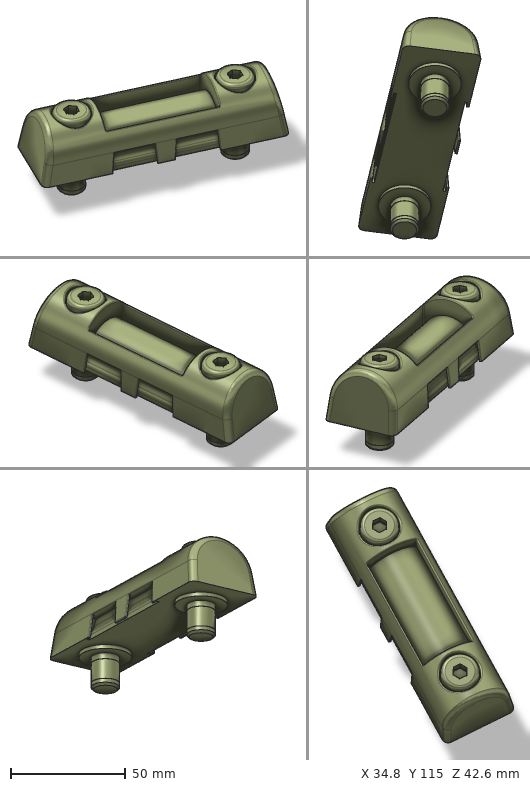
import cadquery as cq
import math

length = 115.0
base_width = 34.8
height = 25.9
side_draft = 5.0
end_draft = 10.0
end_fillet = 3.0

window_width = 24.2
window_length = 53.1
window_corner_radius = 0.6
window_rim_fillet = 0.5

cavity_length = 55.2
skirt_thickness = 1.0

opening_end_y = 25.1
post_half_width = 4.0
opening_height = 10.5
opening_draft = 5.0
opening_corner_radius = 0.6
opening_fillet = 0.3

dome_radius = 13.0
dome_axis_z = 4.7
dome_foot_z = 7.0
curve_middle_x = 14.3
curve_middle_z = 4.1
flange_half_width = 15.2
flange_height = 2.1

screw_spacing = 76.1
counterbore_diameter = 18.0
counterbore_rim_fillet = 0.6
head_diameter = 17.0
head_height = 6.9
head_fillet = 2.0
hex_across_flats = 6.0
hex_depth = 5.8
washer_diameter = 23.0
washer_thickness = 1.8
shank_diameter = 12.5
thread_diameter = 12.4
thread_top_z = -4.6
thread_bottom_z = -13.8
tip_z = -16.7
tip_chamfer = 1.0

margin = 0.1
half_length = length / 2
half_base = base_width / 2
side_slope = math.tan(math.radians(side_draft))

side_angle = math.radians(side_draft)
crown_axis_z = (height - half_base * math.cos(side_angle)) / (1 - math.sin(side_angle))
crown_radius = height - crown_axis_z
crown_start_x = crown_radius * math.cos(side_angle)
crown_start_z = crown_axis_z + crown_radius * math.sin(side_angle)

head_seat_z = height - head_height


def edges_in_box(body, low, high):
    """Edges that lie completely inside the box from low to high."""
    return body.edges(cq.selectors.BoxSelector(low, high, boundingbox=True))


def make_housing():
    section = (
        cq.Workplane("XZ")
        .moveTo(-half_base, 0)
        .lineTo(-crown_start_x, crown_start_z)
        .threePointArc((0, height), (crown_start_x, crown_start_z))
        .lineTo(half_base, 0)
        .close()
        .extrude(half_length, both=True)
    )
    top_half_length = half_length - height * math.tan(math.radians(end_draft))
    side_outline = (
        cq.Workplane("YZ")
        .polyline([
            (-half_length, 0),
            (half_length, 0),
            (top_half_length, height),
            (-top_half_length, height),
        ])
        .close()
        .extrude(base_width, both=True)
    )
    block = section.intersect(side_outline)
    return block.faces("<Y or >Y").edges("not <Z").fillet(end_fillet)


def cut_window(body):
    window = (
        cq.Workplane("XY", origin=(0, 0, dome_axis_z))
        .rect(window_width, window_length)
        .extrude(height)
        .edges("|Z")
        .fillet(window_corner_radius)
    )
    half_x = window_width / 2 + margin
    half_y = window_length / 2 + margin
    rim = edges_in_box(
        body.cut(window),
        (-half_x, -half_y, crown_start_z),
        (half_x, half_y, height + margin),
    )
    return rim.fillet(window_rim_fillet)


def cut_cavity(body):
    inner_half_base = half_base - skirt_thickness
    inner_half_top = inner_half_base - opening_height * side_slope
    cavity = (
        cq.Workplane("XZ")
        .polyline([
            (-inner_half_base, 0),
            (inner_half_base, 0),
            (inner_half_top, opening_height),
            (-inner_half_top, opening_height),
        ])
        .close()
        .extrude(cavity_length / 2, both=True)
    )
    return body.cut(cavity)


def cut_openings(body):
    lean = opening_height * math.tan(math.radians(opening_draft))
    for side in (-1, 1):
        opening = (
            cq.Workplane("YZ")
            .polyline([
                (side * post_half_width, 0),
                (side * (post_half_width + lean), opening_height),
                (side * (opening_end_y - lean), opening_height),
                (side * opening_end_y, 0),
            ])
            .close()
            .extrude(half_base, both=True)
            .faces(">Z")
            .edges("|X")
            .fillet(opening_corner_radius)
        )
        body = body.cut(opening)
    return body


def round_openings(body):
    """Round the outer edges of the skirt openings and the foot of each post."""
    inner_x = half_base - opening_height * side_slope - skirt_thickness / 2
    for side in (-1, 1):
        near_x, far_x = sorted((side * inner_x, side * (half_base + margin)))
        rim = edges_in_box(
            body,
            (near_x, -opening_end_y - margin, -margin),
            (far_x, opening_end_y + margin, opening_height + margin),
        )
        body = rim.edges("not |X").fillet(opening_fillet)
    return body


def make_insert():
    dome_foot_x = math.sqrt(dome_radius**2 - (dome_foot_z - dome_axis_z) ** 2)
    half_insert = (
        cq.Workplane("XZ")
        .lineTo(0, dome_axis_z + dome_radius)
        .radiusArc((dome_foot_x, dome_foot_z), dome_radius)
        .tangentArcPoint((curve_middle_x, curve_middle_z), relative=False)
        .tangentArcPoint((flange_half_width, flange_height), relative=False)
        .lineTo(flange_half_width, 0)
        .close()
        .extrude(cavity_length / 2, both=True)
    )
    return half_insert.union(half_insert.mirror("YZ"))


def cut_counterbore(body, y):
    counterbore = (
        cq.Workplane("XY", origin=(0, y, head_seat_z))
        .circle(counterbore_diameter / 2)
        .extrude(2 * head_height)
    )
    reach = counterbore_diameter / 2 + margin
    rim = edges_in_box(
        body.cut(counterbore),
        (-reach, y - reach, head_seat_z + margin),
        (reach, y + reach, height + margin),
    )
    return rim.edges("not |Z").fillet(counterbore_rim_fillet)


def make_rod(diameter, low_z, high_z):
    return cq.Workplane("XY", origin=(0, 0, low_z)).circle(diameter / 2).extrude(high_z - low_z)


def make_screw():
    head = make_rod(head_diameter, head_seat_z, height).faces(">Z").edges().fillet(head_fillet)
    hexagon = (
        cq.Workplane("XY", origin=(0, 0, height - hex_depth))
        .polygon(6, hex_across_flats / math.cos(math.pi / 6))
        .extrude(hex_depth)
    )
    washer = make_rod(washer_diameter, -washer_thickness, 0)
    shank = make_rod(shank_diameter, thread_top_z, head_seat_z)
    thread = make_rod(thread_diameter, thread_bottom_z, thread_top_z)
    tip = make_rod(shank_diameter, tip_z, thread_bottom_z).faces("<Z").chamfer(tip_chamfer)
    return head.union(shank).union(washer).union(thread).union(tip).cut(hexagon)


result = cut_window(make_housing())
result = round_openings(cut_openings(result))
result = cut_cavity(result)
result = result.union(make_insert())
for screw_y in (-screw_spacing / 2, screw_spacing / 2):
    result = cut_counterbore(result, screw_y)
    result = result.union(make_screw().translate((0, screw_y, 0)))